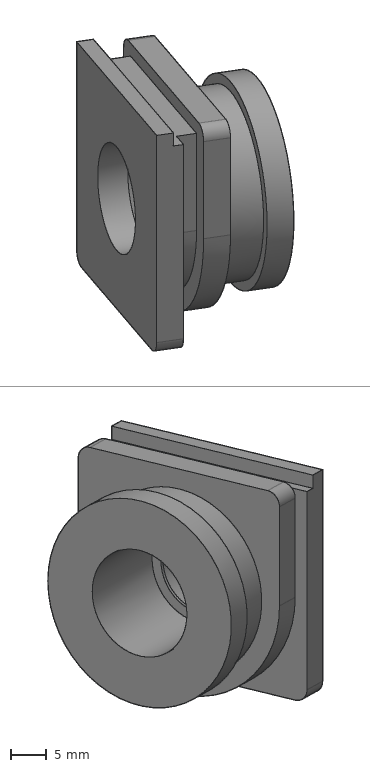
import cadquery as cq

width = 34.0
half_width = width / 2
length = 21.0
corner_radius = 2.0

plate_thickness = 4.0
flange_thickness = 4.0
disc_thickness = 4.0
flange_start = 7.0
flange_end = flange_start + flange_thickness
disc_start = length - disc_thickness

lip_thickness = 2.5
rebate_height = 2.0
shoulder_height = half_width - rebate_height

neck_diameter = 28.0
disc_diameter = 31.0

counterbore_diameter = 15.98
rim_diameter = 13.0
counterbore_depth = 4.5
taper_end = 5.27
rim_thickness = 0.5
rim_end = taper_end + rim_thickness


def disc(diameter, start, end):
    """Cylinder about the Y axis, between two distances from the front face."""
    return cq.Workplane("XZ", origin=(0, end, 0)).circle(diameter / 2).extrude(end - start)


def arched_block(block_width, top, start, end):
    """Block with a flat top and sides, closed below by a half circle."""
    radius = block_width / 2
    return (
        cq.Workplane("XZ", origin=(0, end, 0))
        .moveTo(-radius, 0)
        .lineTo(-radius, top)
        .lineTo(radius, top)
        .lineTo(radius, 0)
        .threePointArc((0, -radius), (-radius, 0))
        .close()
        .extrude(end - start)
    )


def front_plate():
    """Square plate with rounded bottom corners and a rebated rear top edge."""
    plate = (
        cq.Workplane("XY")
        .box(width, plate_thickness, width, centered=(True, False, True))
        .edges("|Y and <Z")
        .fillet(corner_radius)
    )
    rebate_depth = plate_thickness - lip_thickness
    rebate = (
        cq.Workplane("XY", origin=(0, lip_thickness, shoulder_height))
        .box(width, rebate_depth, rebate_height, centered=(True, False, False))
    )
    return plate.cut(rebate)


def flange():
    """Arched flange with rounded top corners."""
    block = arched_block(width, half_width, flange_start, flange_end)
    return block.edges("|Y and >Z").fillet(corner_radius)


def bore():
    """Through bore: front counterbore, taper to the rim, then the rear counterbore."""
    counterbore_radius = counterbore_diameter / 2
    rim_radius = rim_diameter / 2
    return (
        cq.Workplane("XY")
        .polyline([
            (0, 0),
            (counterbore_radius, 0),
            (counterbore_radius, counterbore_depth),
            (rim_radius, taper_end),
            (rim_radius, rim_end),
            (counterbore_radius, rim_end),
            (counterbore_radius, length),
            (0, length),
        ])
        .close()
        .revolve(360, (0, 0, 0), (0, 1, 0))
    )


result = (
    front_plate()
    .union(arched_block(neck_diameter, shoulder_height, plate_thickness, flange_start))
    .union(flange())
    .union(disc(neck_diameter, flange_end, disc_start))
    .union(disc(disc_diameter, disc_start, length))
    .cut(bore())
)